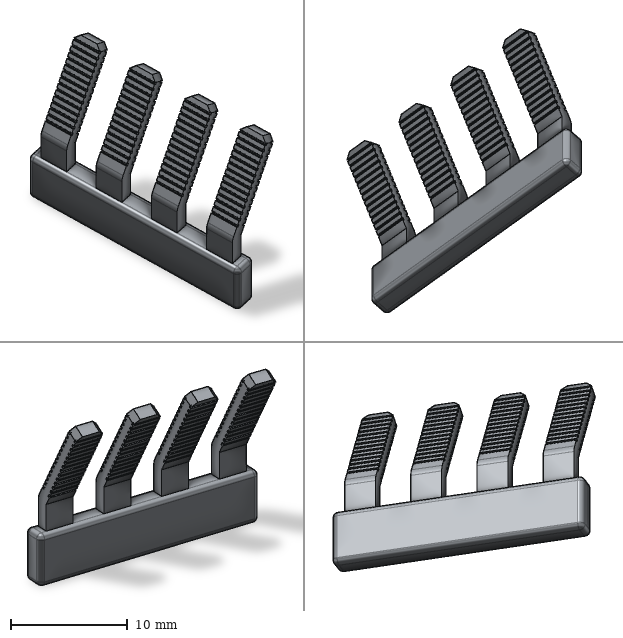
import cadquery as cq
import math

bar_length = 22.8
bar_depth = 2.21
bar_height = 5.0
bar_fillet = 0.5

prong_count = 4
prong_pitch = 6.0
prong_width = 2.8
prong_thickness = bar_depth - 2 * bar_fillet
stem_height = 2.55
lean_angle = 30.0
arm_length = 9.5
tip_chamfer = 0.52

groove_count = 14
groove_width = 0.2
groove_depth = 0.2
plain_root_length = 0.91
grooved_length = arm_length - tip_chamfer - plain_root_length
groove_pitch = (grooved_length - groove_width) / (groove_count - 1)

pivot_y = prong_thickness / 2
pivot_z = bar_height + stem_height
lean = math.radians(lean_angle)


def make_bar():
    bar = cq.Workplane("XY").box(bar_length, bar_depth, bar_height, centered=(True, True, False))
    return bar.edges().fillet(bar_fillet)


def make_stem():
    """Vertical stem with the rounded wedge of the bend on top."""
    front_y = -prong_thickness / 2

    def bend_point(angle):
        y = pivot_y - prong_thickness * math.cos(angle)
        z = pivot_z + prong_thickness * math.sin(angle)
        return y, z

    return (
        cq.Workplane("YZ")
        .moveTo(front_y, bar_height)
        .lineTo(front_y, pivot_z)
        .threePointArc(bend_point(lean / 2), bend_point(lean))
        .lineTo(pivot_y, pivot_z)
        .lineTo(pivot_y, bar_height)
        .close()
        .extrude(prong_width / 2, both=True)
    )


def make_arm():
    """Grooved arm, made upright above the pivot and then leaned back."""
    arm = (
        cq.Workplane("XY", origin=(0, 0, pivot_z))
        .box(prong_width, prong_thickness, arm_length, centered=(True, True, False))
        .edges("|Y and >Z")
        .chamfer(tip_chamfer)
    )

    first_groove_top = pivot_z + arm_length - tip_chamfer
    groove_centres = [
        (side * prong_thickness / 2, first_groove_top - groove_width / 2 - index * groove_pitch)
        for side in (-1, 1)
        for index in range(groove_count)
    ]
    grooves = (
        cq.Workplane("YZ")
        .pushPoints(groove_centres)
        .rect(2 * groove_depth, groove_width)
        .extrude(prong_width, both=True)
    )
    return arm.cut(grooves).rotate((0, pivot_y, pivot_z), (1, pivot_y, pivot_z), -lean_angle)


prong = make_stem().union(make_arm())
result = make_bar()
for prong_index in range(prong_count):
    prong_x = (prong_index - (prong_count - 1) / 2) * prong_pitch
    result = result.union(prong.translate((prong_x, 0, 0)))